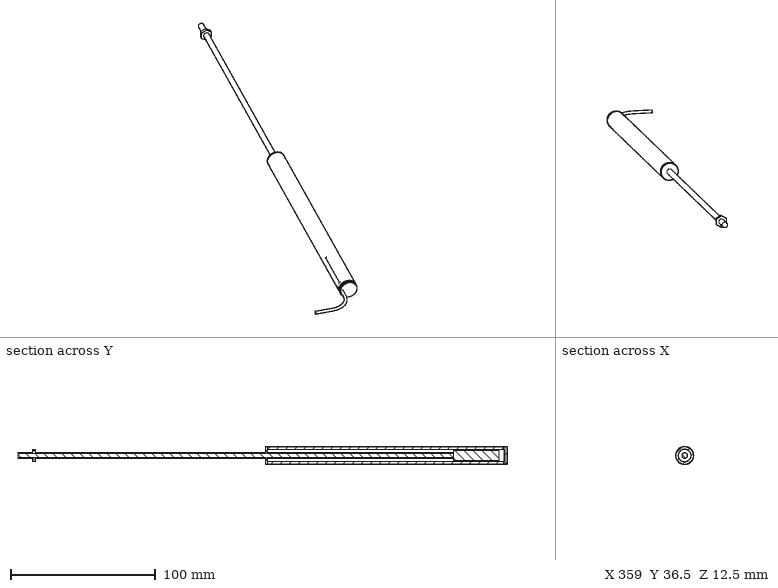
import cadquery as cq
import math

total_length = 359.0
total_depth = 36.5

housing_diameter = 12.5
housing_start = 171.0
housing_end = 338.3
bore_diameter = 8.5
cap_thickness = 1.5
spacer_thickness = 1.0
cap_chamfer = 0.5
tube_start = housing_start + cap_thickness
rear_cap_start = housing_end - cap_thickness
tube_end = rear_cap_start - spacer_thickness

rod_diameter = 4.0
nut_start = 10.0
nut_thickness = 2.0
nut_across_flats = 7.2
nut_turn = 30
nut_across_corners = nut_across_flats / math.cos(math.pi / 6)

cable_diameter = 2.0
cable_offset = 5.0
cable_bend_start = 345.0
cable_end_x = total_length - cable_diameter / 2
cable_bend_radius = cable_end_x - cable_bend_start
cable_end_y = housing_diameter / 2 - total_depth

block_start = 301.0
block_end = 332.5
block_height = 7.5
edge_exposure = 0.05
block_face_offset = math.sqrt((housing_diameter / 2 + edge_exposure) ** 2 - (block_height / 2) ** 2)
block_depth = block_height


def cylinder_x(diameter, start, end):
    """Solid cylinder on the X axis between two X positions."""
    return cq.Workplane("YZ", origin=(start, 0, 0)).circle(diameter / 2).extrude(end - start)


def make_block():
    block = cq.Workplane("XY", origin=(block_start, -block_face_offset, 0))
    return block.box(block_end - block_start, block_depth, block_height, centered=(False, False, True))


def make_tube(block, cable):
    tube = cylinder_x(housing_diameter, tube_start, tube_end)
    return tube.cut(cylinder_x(bore_diameter, tube_start, tube_end)).cut(block).cut(cable)


def make_rod():
    return cylinder_x(rod_diameter, 0, block_start)


def make_front_cap(rod):
    cap = cylinder_x(housing_diameter, housing_start, tube_start)
    return cap.faces("<X").chamfer(cap_chamfer).cut(rod)


def make_nut(rod):
    nut = cq.Workplane("YZ", origin=(nut_start, 0, 0)).polygon(6, nut_across_corners)
    corners_up = nut.extrude(nut_thickness).rotate((0, 0, 0), (1, 0, 0), nut_turn)
    return corners_up.cut(rod)


def make_cable():
    bend_middle = cable_bend_radius * math.sqrt(0.5)
    bend_center_y = -cable_offset - cable_bend_radius
    path = (
        cq.Workplane("XY")
        .moveTo(block_end, -cable_offset)
        .lineTo(cable_bend_start, -cable_offset)
        .threePointArc(
            (cable_bend_start + bend_middle, bend_center_y + bend_middle),
            (cable_end_x, bend_center_y),
        )
        .lineTo(cable_end_x, cable_end_y)
    )
    profile = cq.Workplane("YZ", origin=(block_end, -cable_offset, 0)).circle(cable_diameter / 2)
    return profile.sweep(path)


def make_spacer(cable):
    return cylinder_x(housing_diameter, tube_end, rear_cap_start).cut(cable)


def make_rear_cap(cable):
    cap = cylinder_x(housing_diameter, rear_cap_start, housing_end)
    return cap.faces(">X").chamfer(cap_chamfer).cut(cable)


block = make_block()
rod = make_rod()
front_cap = make_front_cap(rod)
nut = make_nut(rod)
cable = make_cable()
tube = make_tube(block, cable)
spacer = make_spacer(cable)
rear_cap = make_rear_cap(cable)

result = cq.Compound.makeCompound(
    [
        tube.val(),
        block.val(),
        front_cap.val(),
        spacer.val(),
        rear_cap.val(),
        rod.val(),
        nut.val(),
        cable.val(),
    ]
)